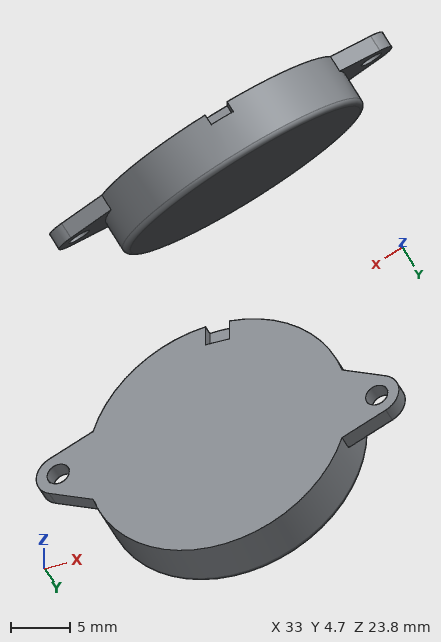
import cadquery as cq
import math

overall_length = 33.0
body_diameter = 23.8
body_thickness = 4.7
rim_fillet = 0.5

ear_thickness = 1.5
ear_end_radius = 2.0
ear_hole_diameter = 2.0
ear_root_half_height = 3.63

notch_width = 2.18
notch_height = 1.98
notch_depth = 1.0

body_radius = body_diameter / 2
ear_center_x = overall_length / 2 - ear_end_radius


def extrude_back(sketch, depth):
    """Extrude an XZ sketch from the front face towards +Y."""
    return sketch.extrude(-depth)


def make_body():
    disc = extrude_back(cq.Workplane("XZ").circle(body_radius), body_thickness)
    return disc.faces(">Y").edges().fillet(rim_fillet)


def make_ear(side):
    """Tapered ear whose straight flanks run tangent to its round end."""
    root_x = math.sqrt(body_radius**2 - ear_root_half_height**2)
    reach = ear_center_x - root_x
    root_distance = math.hypot(reach, ear_root_half_height)
    root_angle = math.atan2(ear_root_half_height, -reach)
    tangent_angle = root_angle - math.acos(ear_end_radius / root_distance)
    tangent_x = ear_center_x + ear_end_radius * math.cos(tangent_angle)
    tangent_z = ear_end_radius * math.sin(tangent_angle)

    outline = (
        cq.Workplane("XZ")
        .moveTo(0, ear_root_half_height)
        .lineTo(side * root_x, ear_root_half_height)
        .lineTo(side * tangent_x, tangent_z)
        .threePointArc((side * overall_length / 2, 0), (side * tangent_x, -tangent_z))
        .lineTo(side * root_x, -ear_root_half_height)
        .lineTo(0, -ear_root_half_height)
        .close()
    )
    hole = cq.Workplane("XZ").center(side * ear_center_x, 0).circle(ear_hole_diameter / 2)
    return extrude_back(outline, ear_thickness).cut(extrude_back(hole, ear_thickness))


def make_notch():
    """Rectangular pocket in the front face, open at the top of the rim."""
    profile = cq.Workplane("XZ").center(0, body_radius - notch_height / 2).rect(notch_width, notch_height)
    return extrude_back(profile, notch_depth)


result = make_body()
for side in (-1, 1):
    result = result.union(make_ear(side))
result = result.cut(make_notch())